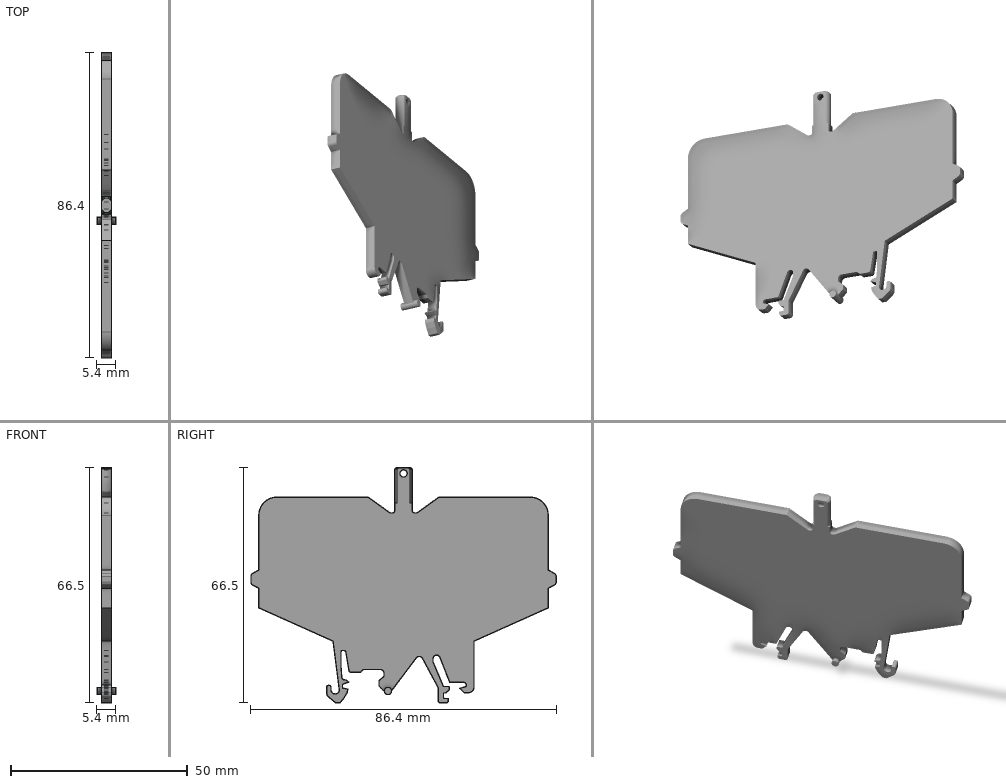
import cadquery as cq
import math


PLATE_THICKNESS = 2.85
OVERALL_WIDTH = 86.4
OVERALL_HEIGHT = 66.5
WING_HALF_WIDTH = 40.95
WING_TOP_Z = 58.2
WING_BOTTOM_Z = 26.9
WING_CORNER_RADIUS = 5.2

LUG_MIDDLE_Z = 35.0
LUG_TIP_HEIGHT = 2.8
LUG_TIP_RADIUS = 1.0
LUG_ROOT_HEIGHT = 5.2

SKIRT_HALF_WIDTH = 20.0
SKIRT_TOP_Z = 17.45

TAB_HALF_WIDTH = 2.5
TAB_FACE_HALF_WIDTH = 1.9
TAB_ROOT_Z = 56.5
TAB_TOP_CHAMFER = 0.4
TAB_HOLE_DIAMETER = 2.0
TAB_HOLE_BELOW_TOP = 1.6
NOTCH_HALF_WIDTH = 10.0
NOTCH_FLOOR_HALF_WIDTH = 3.8
NOTCH_FLOOR_Z = 53.7
NOTCH_CORNER_RADIUS = 0.7

PIN_LENGTH = 5.4
PIN_RADIUS = 1.0
PIN_Y = -4.4
PIN_Z = 3.4

SMALL_RADIUS = 0.3
MEDIUM_RADIUS = 0.7


def wing_corners():
    """Right-hand (+Y) wing, from the skirt up to the root of the tab."""
    lug_tip_y = OVERALL_WIDTH / 2
    return [
        (SKIRT_HALF_WIDTH, SKIRT_TOP_Z),
        (WING_HALF_WIDTH, WING_BOTTOM_Z),
        (WING_HALF_WIDTH, LUG_MIDDLE_Z - LUG_ROOT_HEIGHT / 2),
        (lug_tip_y, LUG_MIDDLE_Z - LUG_TIP_HEIGHT / 2, LUG_TIP_RADIUS),
        (lug_tip_y, LUG_MIDDLE_Z + LUG_TIP_HEIGHT / 2, LUG_TIP_RADIUS),
        (WING_HALF_WIDTH, LUG_MIDDLE_Z + LUG_ROOT_HEIGHT / 2),
        (WING_HALF_WIDTH, WING_TOP_Z, WING_CORNER_RADIUS),
        (NOTCH_HALF_WIDTH, WING_TOP_Z),
        (NOTCH_FLOOR_HALF_WIDTH, NOTCH_FLOOR_Z, NOTCH_CORNER_RADIUS),
        (TAB_HALF_WIDTH, NOTCH_FLOOR_Z, NOTCH_CORNER_RADIUS),
        (TAB_HALF_WIDTH, TAB_ROOT_Z),
    ]


def mirrored(corners):
    """The same corners, in the same order, reflected to the other side of Y = 0."""
    return [(-y, *rest) for y, *rest in corners]


def foot_corners():
    """Rounded foot at the +Y end of the skirt, with a small undercut behind its toe."""
    sole_z = 2.85
    heel_radius = 1.6
    toe_y, toe_z = 15.9, 4.15
    undercut_y = 17.7
    undercut_floor_z = 4.7
    undercut_roof_z = 5.8
    slot_mouth_y = 13.05
    return [
        (SKIRT_HALF_WIDTH, sole_z, heel_radius),
        (toe_y + toe_z - sole_z, sole_z, SMALL_RADIUS),
        (toe_y, toe_z),
        (undercut_y, undercut_floor_z, SMALL_RADIUS),
        (undercut_y, undercut_roof_z, MEDIUM_RADIUS),
        (slot_mouth_y, undercut_roof_z),
    ]


def latch_corners():
    """Slanted springy arm beside the foot, freed by a slot and ending in two teeth."""
    slot_top_z = 13.5
    slot_end_y = 8.4
    slot_end_width = 1.6
    slot_bend_z = 11.6
    slot_outer_radius = 0.9
    slot_inner_radius = 0.95
    shoulder_z = 4.7
    upper_tooth_y = 13.0
    upper_tooth_bottom_z = 3.7
    lower_tooth_y = 12.7
    gap_y = 11.3
    gap_top_width = 0.6
    gap_top_z = 2.8
    gap_bottom_z = 1.3
    back_y = 9.8
    back_top_z = 4.3
    return [
        (slot_end_y + slot_end_width, slot_top_z, slot_outer_radius),
        (slot_end_y, slot_top_z, slot_inner_radius),
        (slot_end_y, slot_bend_z),
        (gap_y, shoulder_z),
        (upper_tooth_y, shoulder_z, SMALL_RADIUS),
        (upper_tooth_y, upper_tooth_bottom_z, SMALL_RADIUS),
        (gap_y + gap_top_width, gap_top_z),
        (gap_y, gap_top_z),
        (gap_y, gap_bottom_z, SMALL_RADIUS),
        (lower_tooth_y, gap_bottom_z),
        (lower_tooth_y, 0, MEDIUM_RADIUS),
        (back_y, 0, MEDIUM_RADIUS),
        (back_y, back_top_z),
    ]


def spike_corners():
    """V gap beside the latch, the spike that carries the pin, and the ledge behind it."""
    gap_apex = (4.6, 14.0)
    gap_radius = 1.0
    tip_y, tip_z = -4.3, 2.2
    barb_y = -7.0
    barb_top_z = 6.3
    neck_y = -5.5
    neck_bottom_z = 7.5
    neck_radius = 1.0
    ledge_z = 9.4
    step_height = 0.8
    ledge_end_y = -15.4
    step_y = -11.4
    return [
        (*gap_apex, gap_radius),
        (tip_y, tip_z, PIN_RADIUS),
        (barb_y, tip_z + tip_y - barb_y),
        (barb_y, barb_top_z),
        (neck_y, neck_bottom_z, SMALL_RADIUS),
        (neck_y, ledge_z, neck_radius),
        (step_y, ledge_z),
        (step_y - step_height, ledge_z - step_height),
        (ledge_end_y, ledge_z - step_height, MEDIUM_RADIUS),
    ]


def hook_corners():
    """Long springy arm at the -Y end of the skirt, with a barb and an upturned hook."""
    slot_top_z = 14.8
    slot_near_y = -16.4
    slot_near_radius = 0.4
    slot_far_y = -17.6
    slot_bend_z = 10.0
    arm_foot = (-17.4, 6.65)
    barb_shoulder = (-16.2, 6.5)
    barb_tip = (-15.5, 5.9)
    throat_y = -17.2
    throat_top_z = 5.3
    throat_bottom_z = 4.2
    jaw_tip = (-15.7, 3.9)
    jaw_front = [(-15.9, 2.9), (-16.8, 1.5)]
    hook_base_start_y = -18.0
    hook_base_end_y = -19.2
    hook_outer_y = -21.8
    hook_outer_bottom_z = 2.2
    hook_outer_radius = 1.55
    hook_inner_y = -20.5
    hook_top_z = 5.0
    hook_tip_radius = 0.6
    arm_bottom_y = -18.1
    bowl_z = 2.6
    bowl_radius = 1.0
    return [
        (slot_near_y, slot_top_z, slot_near_radius),
        (slot_far_y, slot_top_z, SMALL_RADIUS),
        (slot_far_y, slot_bend_z),
        (*arm_foot, MEDIUM_RADIUS),
        barb_shoulder,
        barb_tip,
        (throat_y, throat_top_z, SMALL_RADIUS),
        (throat_y, throat_bottom_z),
        jaw_tip,
        *jaw_front,
        (hook_base_start_y, 0),
        (hook_base_end_y, 0),
        (hook_outer_y, hook_outer_bottom_z, hook_outer_radius),
        (hook_outer_y, hook_top_z, hook_tip_radius),
        (hook_inner_y, hook_top_z, hook_tip_radius),
        (hook_inner_y, bowl_z, bowl_radius),
        (arm_bottom_y, bowl_z, bowl_radius),
    ]


def rounding(before, corner, after):
    """Start, middle and end of the arc that rounds a corner."""
    y, z, radius = corner
    angle_in = math.atan2(before[1] - z, before[0] - y)
    angle_out = math.atan2(after[1] - z, after[0] - y)
    half_angle = math.acos(math.cos(angle_out - angle_in)) / 2
    setback = radius / math.tan(half_angle)
    to_middle = radius / math.sin(half_angle) - radius
    bisector = math.atan2(
        math.sin(angle_in) + math.sin(angle_out),
        math.cos(angle_in) + math.cos(angle_out),
    )
    return [
        (y + distance * math.cos(angle), z + distance * math.sin(angle))
        for distance, angle in ((setback, angle_in), (to_middle, bisector), (setback, angle_out))
    ]


def extruded_outline(corners, thickness):
    """Closed outline in the YZ plane, extruded evenly to both sides of X = 0."""
    outline = cq.Workplane("YZ").moveTo(*corners[0])
    for before, corner, after in zip(corners, corners[1:], corners[2:] + corners[:1]):
        is_sharp = len(corner) == 2
        if is_sharp:
            outline = outline.lineTo(*corner)
        else:
            start, middle, end = rounding(before, corner, after)
            outline = outline.lineTo(*start).threePointArc(middle, end)
    return outline.close().extrude(thickness / 2, both=True)


def make_plate():
    wing = wing_corners()
    clips = foot_corners() + latch_corners() + spike_corners() + hook_corners()
    corners = wing[:1] + clips + mirrored(wing) + wing[:0:-1]
    return extruded_outline(corners, PLATE_THICKNESS)


def make_tab():
    """Upright tab with bulging edges, a chamfered top and a hole through it."""
    half_thickness = PLATE_THICKNESS / 2
    tab = (
        cq.Workplane("XY", origin=(0, 0, TAB_ROOT_Z))
        .moveTo(-half_thickness, -TAB_FACE_HALF_WIDTH)
        .threePointArc((0, -TAB_HALF_WIDTH), (half_thickness, -TAB_FACE_HALF_WIDTH))
        .lineTo(half_thickness, TAB_FACE_HALF_WIDTH)
        .threePointArc((0, TAB_HALF_WIDTH), (-half_thickness, TAB_FACE_HALF_WIDTH))
        .close()
        .extrude(OVERALL_HEIGHT - TAB_ROOT_Z)
    )
    tab = tab.faces(">Z").edges("%CIRCLE").chamfer(TAB_TOP_CHAMFER)
    hole = (
        cq.Workplane("YZ")
        .center(0, OVERALL_HEIGHT - TAB_HOLE_BELOW_TOP)
        .circle(TAB_HOLE_DIAMETER / 2)
        .extrude(PLATE_THICKNESS, both=True)
    )
    return tab.cut(hole)


def make_pin():
    section = cq.Workplane("YZ").center(PIN_Y, PIN_Z).circle(PIN_RADIUS)
    return section.extrude(PIN_LENGTH / 2, both=True)


result = make_plate().union(make_tab()).union(make_pin())